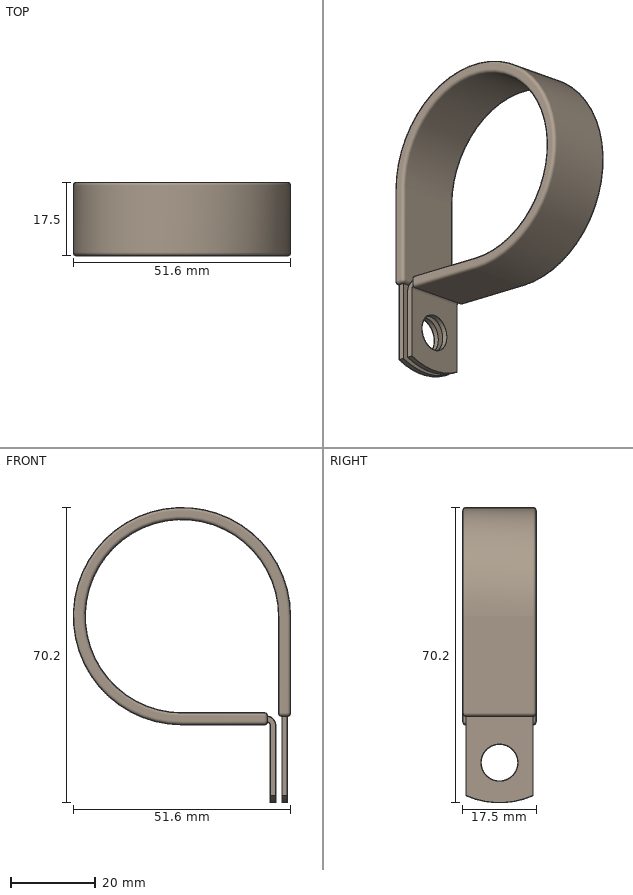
import cadquery as cq
import math

cushion_width = 17.5
outer_radius = 25.8
cushion_skin = 0.8
band_thickness = 1.3
bend_inner_radius = 1.0
vertical_cushion_end = -23.8
lower_cushion_end = 20.35
near_tab_outer_face = 22.3
overall_height = 70.2
hole_diameter = 8.7
hole_to_tip = 9.55
tip_sagitta = 1.7

band_width = cushion_width - 2 * cushion_skin
cushion_thickness = band_thickness + 2 * cushion_skin
mid_radius = outer_radius - cushion_thickness / 2
tip_z = outer_radius - overall_height
bend_mid_radius = bend_inner_radius + band_thickness / 2
near_tab_x = near_tab_outer_face - band_thickness / 2


def strip_section(thickness, width, end_z):
    """Rectangle across the straight leg, at the height of its free end."""
    return (
        cq.Workplane("XY", origin=(mid_radius, 0, end_z))
        .rect(thickness, width)
    )


def loop_path(start_z):
    """Centreline up the straight leg and three quarters around the loop."""
    diagonal = mid_radius * math.sqrt(0.5)
    return (
        cq.Workplane("XZ")
        .moveTo(mid_radius, start_z)
        .lineTo(mid_radius, 0)
        .threePointArc((-diagonal, diagonal), (0, -mid_radius))
    )


def make_cushion():
    path = loop_path(vertical_cushion_end).lineTo(lower_cushion_end, -mid_radius)
    section = strip_section(cushion_thickness, cushion_width, vertical_cushion_end)
    return section.sweep(path).edges().fillet(cushion_skin)


def make_band():
    bend_start_x = near_tab_x - bend_mid_radius
    bend_center_z = -mid_radius - bend_mid_radius
    bend_diagonal = bend_mid_radius * math.sqrt(0.5)
    path = (
        loop_path(tip_z)
        .lineTo(bend_start_x, -mid_radius)
        .threePointArc(
            (bend_start_x + bend_diagonal, bend_center_z + bend_diagonal),
            (near_tab_x, bend_center_z),
        )
        .lineTo(near_tab_x, tip_z)
    )
    return strip_section(band_thickness, band_width, tip_z).sweep(path)


def make_tab_outline():
    """Side silhouette of the band with the arched tab tips."""
    half_width = band_width / 2
    shoulder_z = tip_z + tip_sagitta
    return (
        cq.Workplane("YZ")
        .moveTo(-half_width, outer_radius)
        .lineTo(-half_width, shoulder_z)
        .threePointArc((0, tip_z), (half_width, shoulder_z))
        .lineTo(half_width, outer_radius)
        .close()
        .extrude(outer_radius, both=True)
    )


def make_bolt_hole():
    return (
        cq.Workplane("YZ")
        .center(0, tip_z + hole_to_tip)
        .circle(hole_diameter / 2)
        .extrude(outer_radius)
    )


band = make_band().intersect(make_tab_outline()).cut(make_bolt_hole())
result = make_cushion().union(band)